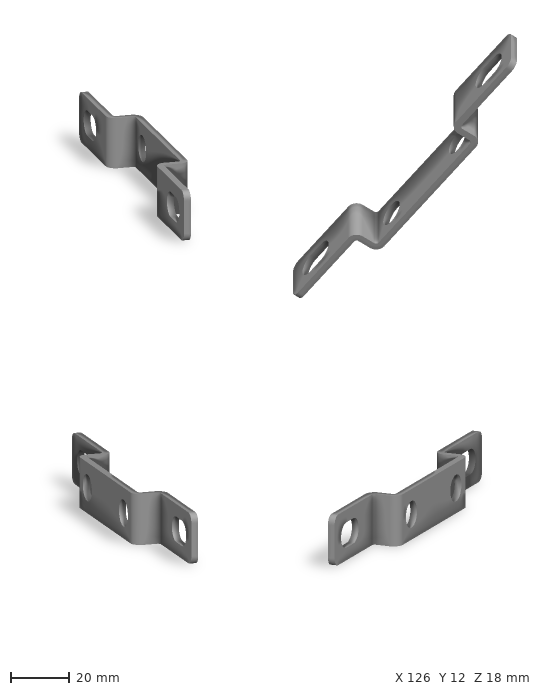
import cadquery as cq

length = 126.0
depth = 12.0
height = 18.0
thickness = 2.5
bridge_width = 60.0
corner_radius = 3.0

inner_bend_radius = 1.0
outer_bend_radius = inner_bend_radius + thickness

hole_diameter = 9.5
hole_spacing = 38.0

slot_length = 15.0
slot_height = 9.0
slot_spacing = 100.0

half_length = length / 2
web_outer_x = bridge_width / 2
web_inner_x = web_outer_x - thickness


def make_strip():
    """Sharp-cornered hat section in XY, extruded along Z and centred on it."""
    right_side = [
        (web_inner_x, depth - thickness),
        (web_inner_x, 0),
        (half_length, 0),
        (half_length, thickness),
        (web_outer_x, thickness),
        (web_outer_x, depth),
    ]
    left_side = [(-x, y) for x, y in reversed(right_side)]
    return (
        cq.Workplane("XY")
        .workplane(offset=-height / 2)
        .polyline(right_side + left_side)
        .close()
        .extrude(height)
    )


def vertical_edges(body, x, y):
    """Edges parallel to Z standing at (x, y) and at its mirror (-x, y)."""
    reach = thickness / 4
    box = cq.selectors.BoxSelector(
        (x - reach, y - reach, -height),
        (x + reach, y + reach, height),
    )
    mirrored_box = cq.selectors.BoxSelector(
        (-x - reach, y - reach, -height),
        (-x + reach, y + reach, height),
    )
    return body.edges("|Z").edges(box + mirrored_box)


def round_bends(body):
    """Give each of the four bends its inner and outer radius."""
    bend_corners = [
        (web_inner_x, depth - thickness, inner_bend_radius),
        (web_outer_x, depth, outer_bend_radius),
        (web_outer_x, thickness, inner_bend_radius),
        (web_inner_x, 0, outer_bend_radius),
    ]
    for x, y, radius in bend_corners:
        body = vertical_edges(body, x, y).fillet(radius)
    return body


def round_foot_corners(body):
    """Round the free corners at both ends of the strip."""
    return body.faces("<X or >X").edges("|Y").fillet(corner_radius)


def cut_bridge_holes(body):
    """Two round holes through the bridge."""
    holes = (
        cq.Workplane("XZ")
        .pushPoints([(-hole_spacing / 2, 0), (hole_spacing / 2, 0)])
        .circle(hole_diameter / 2)
        .extrude(-depth)
    )
    return body.cut(holes)


def cut_foot_slots(body):
    """One round-ended slot through each foot, lengthwise along X."""
    slots = (
        cq.Workplane("XZ")
        .pushPoints([(-slot_spacing / 2, 0), (slot_spacing / 2, 0)])
        .slot2D(slot_length, slot_height)
        .extrude(-depth)
    )
    return body.cut(slots)


bracket = make_strip()
bracket = round_bends(bracket)
bracket = round_foot_corners(bracket)
bracket = cut_bridge_holes(bracket)
bracket = cut_foot_slots(bracket)

result = bracket